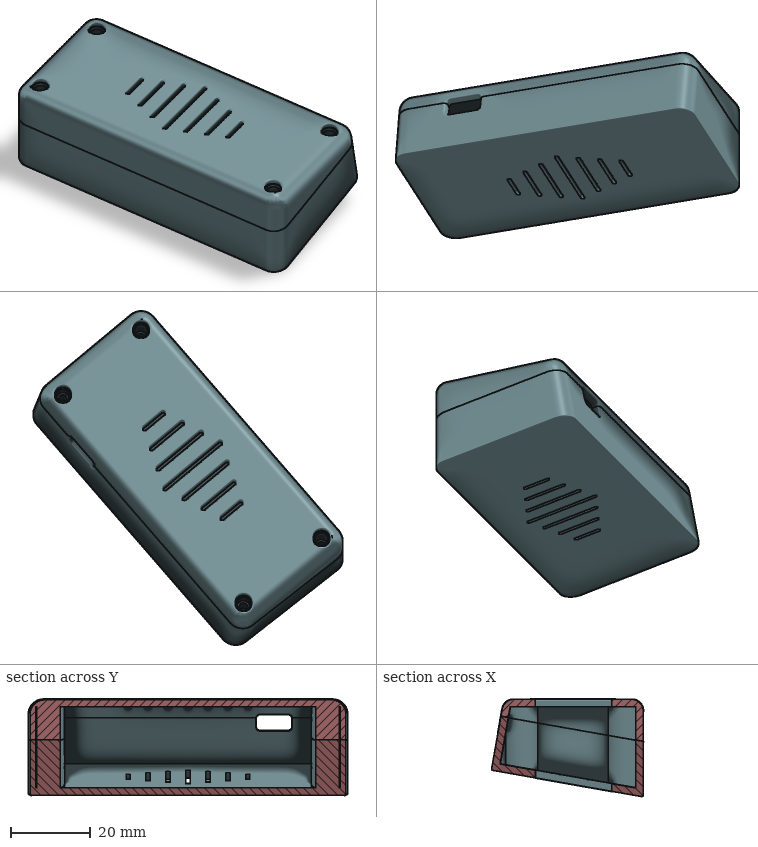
import cadquery as cq
import math

length = 80.0
floor_length = 38.7
front_height = 24.6
tilt = 10.0
side_round = 4.0
top_round = 3.0
floor_round = 0.5

wall = 2.0
seam_offset = 13.7

vent_lengths = [8.0, 12.0, 16.0, 20.0, 16.0, 12.0, 8.0]
vent_span = 30.0
vent_mouth = 2.0
vent_round = 0.5

port_x = 21.5
port_offset = 12.4
port_width = 9.0
port_height = 4.2
port_corner = 1.0
port_round = 1.0

screw_span_x = 69.8
screw_span_y = 25.6
screw_shift = 0.2
head_diameter = 4.2
head_depth = 1.2
head_round = 0.5
lead_in_diameter = 3.8
lead_in_depth = 0.6
clearance_diameter = 3.2
pilot_diameter = 2.0
pilot_depth = 6.4
post_diameter = 8.0

tolerance = 0.01
tilt_sin = math.sin(math.radians(tilt))
tilt_cos = math.cos(math.radians(tilt))
tilt_tan = tilt_sin / tilt_cos
rear_floor_y = floor_length * tilt_cos
rear_floor_z = floor_length * tilt_sin
top_depth = rear_floor_y - (front_height - rear_floor_z) * tilt_tan
head_floor_z = front_height - head_depth
vent_pitch = vent_span / (len(vent_lengths) - 1)
upward = cq.Vector(0, -tilt_sin, tilt_cos)
rearward = cq.Vector(0, tilt_cos, tilt_sin)
screw_points = [
    (side * screw_span_x / 2, top_depth / 2 + screw_shift + end * screw_span_y / 2)
    for side in (-1, 1)
    for end in (-1, 1)
]


def above(offset):
    """Large block filling everything above a plane parallel to the floor."""
    plane = cq.Plane(origin=(upward * offset).toTuple(), xDir=(1, 0, 0), normal=upward.toTuple())
    return cq.Workplane(plane).rect(4 * length, 4 * length).extrude(length)


def wedge(inset):
    """Sharp-edged wedge, inset evenly from the outer faces."""
    rise = inset / tilt_cos
    top = front_height - inset
    rear_at_zero = rear_floor_y + rear_floor_z * tilt_tan - rise
    rear_low_y = (rear_at_zero - rise * tilt_tan) * tilt_cos**2
    profile = [
        (inset, inset * tilt_tan + rise),
        (rear_low_y, rear_low_y * tilt_tan + rise),
        (rear_at_zero - top * tilt_tan, top),
        (inset, top),
    ]
    return cq.Workplane("YZ").polyline(profile).close().extrude(length / 2 - inset, both=True)


def is_on_floor(edge):
    center = edge.Center()
    return center.z < center.y * tilt_tan + tolerance


def outer_block():
    """Solid wedge with its outer edges rounded."""
    block = wedge(0)
    side_edges = [edge for edge in block.faces("<X or >X").edges().objects if not is_on_floor(edge)]
    block = block.newObject(side_edges).fillet(side_round)
    block = block.faces(">Z").edges().fillet(top_round)
    floor = block.faces(cq.selectors.DirectionMinMaxSelector(upward, False))
    return floor.edges().fillet(floor_round)


def round_inner_rims(body, face, radius):
    """Round the edges of all openings that lie inside one face."""
    rims = [edge for wire in face.val().innerWires() for edge in wire.Edges()]
    return body.newObject(rims).fillet(radius)


def cut_vents(body):
    """Row of slots through the lid and the floor, longest in the middle."""
    for index, mouth_length in enumerate(vent_lengths):
        slot = (
            cq.Workplane("XY")
            .center(index * vent_pitch - vent_span / 2, top_depth / 2)
            .slot2D(mouth_length - 2 * vent_round, vent_mouth - 2 * vent_round, 90)
            .extrude(front_height)
        )
        body = body.cut(slot)
    return round_inner_rims(body, body.faces(">Z"), vent_round)


def cut_port(body):
    """Rounded rectangular opening square to the rear wall, with a rounded mouth."""
    center_y = rear_floor_y - port_offset * tilt_sin
    center_z = rear_floor_z + port_offset * tilt_cos
    plane = cq.Plane(origin=(port_x, center_y, center_z), xDir=(-1, 0, 0), normal=rearward.toTuple())
    opening = (
        cq.Workplane(plane)
        .rect(port_width, port_height)
        .extrude(-2 * wall)
        .edges(cq.selectors.ParallelDirSelector(rearward))
        .fillet(port_corner)
    )
    body = body.cut(opening)
    rear_face = body.faces(cq.selectors.DirectionMinMaxSelector(rearward, True))
    return round_inner_rims(body, rear_face, port_round)


def screw_bores(diameter, bottom):
    """Upright cylinders at the screws, from a bottom height to the top face."""
    base_plane = cq.Workplane("XY", origin=(0, 0, bottom))
    return base_plane.pushPoints(screw_points).circle(diameter / 2).extrude(front_height - bottom)


def is_head_rim(edge):
    """True for the upper edges of the screw head recesses."""
    box = edge.BoundingBox()
    reach = head_diameter / 2 + tolerance
    if box.zmin < head_floor_z + head_depth / 5 or max(box.xlen, box.ylen) < head_depth / 8:
        return False
    if box.zlen > head_depth / 2:
        return False
    return any(
        max(abs(box.xmin - x), abs(box.xmax - x), abs(box.ymin - y), abs(box.ymax - y)) < reach
        for x, y in screw_points
    )


def cut_screw_holes(body):
    """Head recess, tapered lead-in and clearance hole in the lid, pilot hole in the base."""
    body = body.cut(screw_bores(head_diameter, head_floor_z))
    head_rims = [edge for edge in body.edges().objects if is_head_rim(edge)]
    body = body.newObject(head_rims).fillet(head_round)
    body = body.cut(screw_bores(clearance_diameter, 0).intersect(above(seam_offset)))
    for x, y in screw_points:
        lead_in = (
            cq.Workplane("XY", origin=(x, y, head_floor_z))
            .circle(lead_in_diameter / 2)
            .workplane(offset=-lead_in_depth)
            .circle(clearance_diameter / 2)
            .loft()
        )
        body = body.cut(lead_in)
    return body.cut(screw_bores(pilot_diameter, 0).intersect(above(seam_offset - pilot_depth)))


def cavity():
    """Inner space of the case, leaving a round post at each screw."""
    return wedge(wall).cut(screw_bores(post_diameter, 0))


case = cut_screw_holes(cut_port(cut_vents(outer_block()))).cut(cavity())
upper_space = above(seam_offset)

lid = case.intersect(upper_space)

base = case.cut(upper_space)

result = cq.Compound.makeCompound([lid.val(), base.val()])